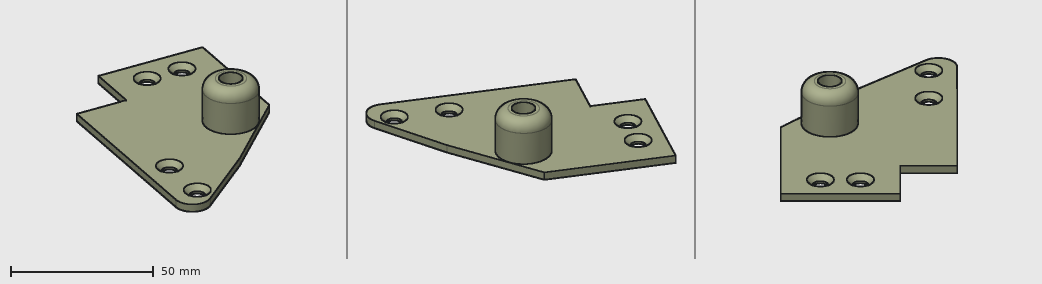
import cadquery as cq
import math

plate_length = 97.5
plate_width = 62.0
plate_thickness = 3.0
notch_side = 20.0
top_edge_length = 47.7
bend_x = 75.9
bend_y = 34.2
nose_radius = 6.6

boss_x = 50.7
boss_y = 44.8
boss_diameter = 20.0
boss_top = 20.0
boss_rounding = 4.5
bore_diameter = 8.4

screw_diameter = 5.5
sink_diameter = 9.6
sink_angle = 90
screw_edge_distance = notch_side / 2
side_screw_low_y = 34.0
side_screw_high_y = 48.1
bottom_screw_inner_x = 68.55
bottom_screw_outer_x = 88.4
screw_centers = [
    (screw_edge_distance, side_screw_low_y),
    (screw_edge_distance, side_screw_high_y),
    (bottom_screw_inner_x, screw_edge_distance),
    (bottom_screw_outer_x, screw_edge_distance),
]


def make_plate():
    """Notched plate whose lower sloping edge runs tangent into a round nose."""
    nose_x = plate_length - nose_radius
    nose_y = nose_radius
    bend_distance = math.hypot(bend_x - nose_x, bend_y - nose_y)
    bend_direction = math.atan2(bend_y - nose_y, bend_x - nose_x)
    tangent_direction = bend_direction - math.acos(nose_radius / bend_distance)
    tangent_point = (
        nose_x + nose_radius * math.cos(tangent_direction),
        nose_y + nose_radius * math.sin(tangent_direction),
    )
    return (
        cq.Workplane("XY")
        .moveTo(notch_side, 0)
        .lineTo(nose_x, 0)
        .threePointArc((plate_length, nose_y), tangent_point)
        .lineTo(bend_x, bend_y)
        .lineTo(top_edge_length, plate_width)
        .lineTo(0, plate_width)
        .lineTo(0, notch_side)
        .lineTo(notch_side, notch_side)
        .close()
        .extrude(plate_thickness)
    )


def make_boss():
    """Cylinder with a rounded top rim, standing from the plate underside."""
    return (
        cq.Workplane("XY")
        .center(boss_x, boss_y)
        .circle(boss_diameter / 2)
        .extrude(boss_top)
        .faces(">Z")
        .edges()
        .fillet(boss_rounding)
    )


def make_bore():
    """Cutter for the hole through the boss and the plate."""
    return cq.Workplane("XY").center(boss_x, boss_y).circle(bore_diameter / 2).extrude(boss_top)


plate = (
    make_plate()
    .faces(">Z")
    .workplane(origin=(0, 0, plate_thickness))
    .pushPoints(screw_centers)
    .cskHole(screw_diameter, sink_diameter, sink_angle)
)
result = plate.union(make_boss()).cut(make_bore())